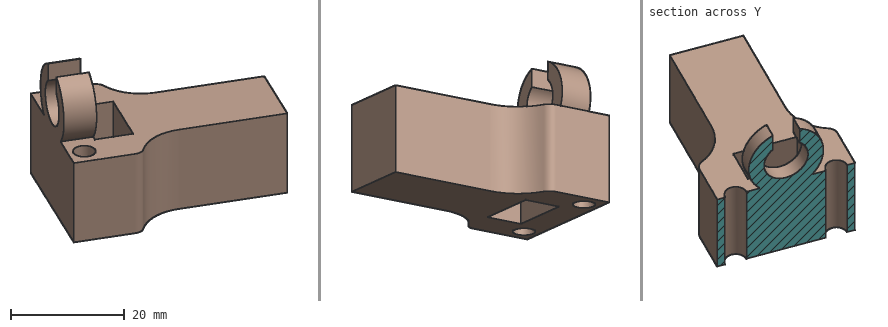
import cadquery as cq
import math

head_width = 26.0
stem_width = 13.9
body_length = 41.05
body_height = 16.0
stem_start_y = 21.0
neck_radius = 8.8
shoulder_radius = 2.0

window_width = 12.05
window_back_y = 13.0

hole_diameter = 4.0
hole_spacing = 19.0
hole_y = 3.0

clip_outer_diameter = 14.2
clip_bore_diameter = 8.2
clip_gap = 5.0
clip_depth = 6.0
clip_axis_height = 5.0


def make_body():
    """Extrude the outline, whose neck and shoulder arcs are tangent to each other."""
    half_head = head_width / 2
    half_stem = stem_width / 2
    neck_center_x = half_stem + neck_radius
    shoulder_center_x = half_head - shoulder_radius
    center_distance = neck_radius + shoulder_radius
    center_dx = neck_center_x - shoulder_center_x
    center_dy = math.sqrt(center_distance**2 - center_dx**2)
    head_side_y = stem_start_y - center_dy

    share = shoulder_radius / center_distance
    touch_x = shoulder_center_x + share * center_dx
    touch_y = head_side_y + share * center_dy

    return (
        cq.Workplane("XY")
        .moveTo(-half_head, 0)
        .lineTo(half_head, 0)
        .lineTo(half_head, head_side_y)
        .radiusArc((touch_x, touch_y), -shoulder_radius)
        .radiusArc((half_stem, stem_start_y), neck_radius)
        .lineTo(half_stem, body_length)
        .lineTo(-half_stem, body_length)
        .lineTo(-half_stem, stem_start_y)
        .radiusArc((-touch_x, touch_y), neck_radius)
        .radiusArc((-half_head, head_side_y), -shoulder_radius)
        .close()
        .extrude(body_height)
    )


def cut_window(body):
    window_length = window_back_y - clip_depth
    window = (
        cq.Workplane("XY")
        .center(0, clip_depth + window_length / 2)
        .rect(window_width, window_length)
        .extrude(body_height)
    )
    return body.cut(window)


def cut_holes(body):
    holes = (
        cq.Workplane("XY")
        .pushPoints([(side * hole_spacing / 2, hole_y) for side in (-1, 1)])
        .circle(hole_diameter / 2)
        .extrude(body_height)
    )
    return body.cut(holes)


def make_clip():
    """Ring along Y with its upper side slotted open; its bottom sinks into the head."""
    axis_z = body_height + clip_axis_height
    outer_radius = clip_outer_diameter / 2
    front = cq.Workplane("XZ").center(0, axis_z)
    ring = front.circle(outer_radius).circle(clip_bore_diameter / 2).extrude(-clip_depth)
    slot = front.center(0, outer_radius / 2).rect(clip_gap, outer_radius).extrude(-clip_depth)
    return ring.cut(slot)


body = cut_holes(cut_window(make_body()))
result = body.union(make_clip())